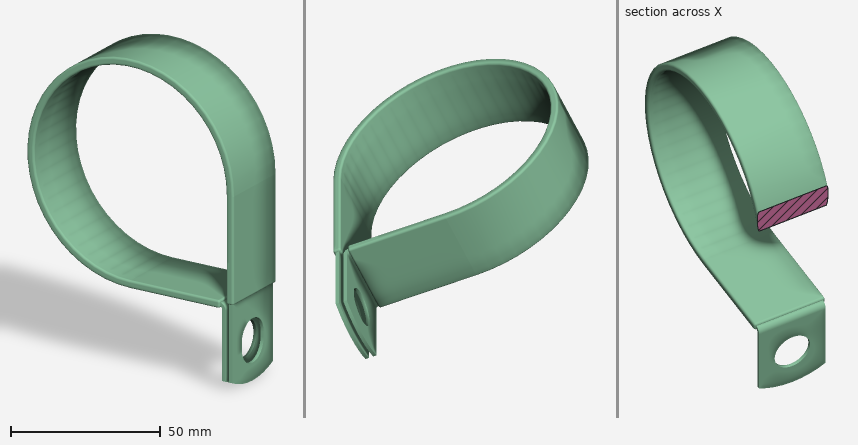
import cadquery as cq
import math


loop_bore_radius = 38.1
cushion_thickness = 0.794
strap_thickness = 1.217
strap_width = 25.4
cushion_width = strap_width + 2 * cushion_thickness

tab_bottom_z = -69.825
tab_hole_diameter = 13.5
back_slot_length = 15.9
tab_hole_height = 14.29
tab_end_radius = 28.575
bend_inner_radius = strap_thickness

strap_inner_radius = loop_bore_radius + cushion_thickness
strap_outer_radius = strap_inner_radius + strap_thickness
band_outer_radius = strap_outer_radius + cushion_thickness

front_tab_outer_x = strap_inner_radius - 2 * cushion_thickness
front_tab_inner_x = front_tab_outer_x - strap_thickness
bend_outer_radius = bend_inner_radius + strap_thickness
bend_start_x = front_tab_outer_x - bend_outer_radius
bend_center_z = -strap_outer_radius - bend_inner_radius

horizontal_cushion_end_x = 35.5
vertical_cushion_end_z = -strap_inner_radius


def diagonal_point(center_x, center_z, radius, x_sign, z_sign):
    """Point on a circle at 45 degrees, in the quadrant given by the signs."""
    offset = radius * math.sqrt(0.5)
    return (center_x + x_sign * offset, center_z + z_sign * offset)


def extrude_about_mid_plane(outline, width):
    """Extrude an XZ outline by the given width, centred on Y = 0."""
    return outline.close().extrude(width / 2, both=True)


def make_cushion():
    """Three-quarter loop with two straight legs, rounded along every edge."""
    inner = loop_bore_radius
    outer = band_outer_radius
    outline = (
        cq.Workplane("XZ")
        .moveTo(outer, vertical_cushion_end_z)
        .lineTo(outer, 0)
        .threePointArc(diagonal_point(0, 0, outer, -1, 1), (0, -outer))
        .lineTo(horizontal_cushion_end_x, -outer)
        .lineTo(horizontal_cushion_end_x, -inner)
        .lineTo(0, -inner)
        .threePointArc(diagonal_point(0, 0, inner, -1, 1), (inner, 0))
        .lineTo(inner, vertical_cushion_end_z)
    )
    body = extrude_about_mid_plane(outline, cushion_width)
    side_edges = body.faces("<Y or >Y").edges()
    horizontal_end_edges = body.faces(cq.selectors.NearestToPointSelector(
        (horizontal_cushion_end_x, 0, -(inner + outer) / 2))).edges("|Y")
    vertical_end_edges = body.faces(cq.selectors.NearestToPointSelector(
        ((inner + outer) / 2, 0, vertical_cushion_end_z))).edges("|Y")
    rounded_edges = side_edges.add(horizontal_end_edges).add(vertical_end_edges)
    return rounded_edges.fillet(cushion_thickness)


def make_strap():
    """Metal strip following the loop, with the front tab bent down from the horizontal leg."""
    inner = strap_inner_radius
    outer = strap_outer_radius
    outline = (
        cq.Workplane("XZ")
        .moveTo(outer, tab_bottom_z)
        .lineTo(outer, 0)
        .threePointArc(diagonal_point(0, 0, outer, -1, 1), (0, -outer))
        .lineTo(bend_start_x, -outer)
        .threePointArc(
            diagonal_point(bend_start_x, bend_center_z, bend_inner_radius, 1, 1),
            (front_tab_inner_x, bend_center_z),
        )
        .lineTo(front_tab_inner_x, tab_bottom_z)
        .lineTo(front_tab_outer_x, tab_bottom_z)
        .lineTo(front_tab_outer_x, bend_center_z)
        .threePointArc(
            diagonal_point(bend_start_x, bend_center_z, bend_outer_radius, 1, 1),
            (bend_start_x, -inner),
        )
        .lineTo(0, -inner)
        .threePointArc(diagonal_point(0, 0, inner, -1, 1), (inner, 0))
        .lineTo(inner, tab_bottom_z)
    )
    return extrude_about_mid_plane(outline, strap_width)


def make_tab_end_trim():
    """Stock to remove below the shallow arc that ends both tabs."""
    half_width = strap_width / 2
    arc_drop = tab_end_radius - math.sqrt(tab_end_radius**2 - half_width**2)
    corner_z = tab_bottom_z + arc_drop
    trim_bottom_z = tab_bottom_z - arc_drop
    return (
        cq.Workplane("YZ")
        .moveTo(-half_width, corner_z)
        .threePointArc((0, tab_bottom_z), (half_width, corner_z))
        .lineTo(half_width, trim_bottom_z)
        .lineTo(-half_width, trim_bottom_z)
        .close()
        .extrude(band_outer_radius)
    )


def tab_hole_plane(tab_inner_x):
    """YZ work plane on the inner face of a tab, centred on its hole."""
    return cq.Workplane("YZ", origin=(tab_inner_x, 0, tab_bottom_z + tab_hole_height))


def make_front_tab_hole():
    """Round bolt hole through the front tab."""
    return tab_hole_plane(front_tab_inner_x).circle(tab_hole_diameter / 2).extrude(strap_thickness)


def make_back_tab_slot():
    """Vertical slot through the back tab, as wide as the round hole."""
    return (
        tab_hole_plane(strap_inner_radius)
        .slot2D(back_slot_length, tab_hole_diameter, angle=90)
        .extrude(strap_thickness)
    )


strap = make_strap().cut(make_tab_end_trim())
strap = strap.cut(make_front_tab_hole()).cut(make_back_tab_slot())
result = strap.union(make_cushion())